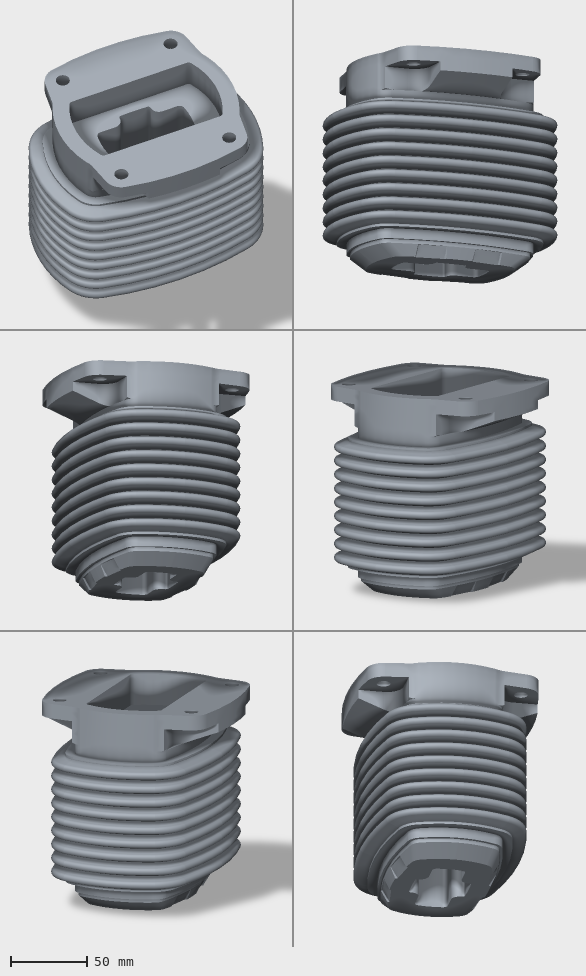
import cadquery as cq
import math

TIP_HALF_X = 53.5
TIP_HALF_Y = 76.8
CORNER_X = 21.7
CORNER_Y = 46.2
TIP_CORNER_R = 26.1

ROOT_INSET = 9.2
NECK_INSET = 15.7
SPIGOT_INSET = 17.8
CAVITY_INSET = 26.7

TAPER_TOP = 7.7
SPIGOT_TOP = 10.3
FINS_BOTTOM = 17.0
FINS_TOP = 103.5
HOUSING_BOTTOM = 110.5
TOTAL_HEIGHT = 135.5

FIN_COUNT = 9
FIN_TIP_R = 5.0 / 2
FIN_ROOT_WIDTH = 9.0
FIN_END_MARGIN = 1.7
FIN_PITCH = (FINS_TOP - FINS_BOTTOM - 2 * FIN_END_MARGIN - FIN_ROOT_WIDTH) / (FIN_COUNT - 1)
FIN_OVERLAP = 3.0

TAPER_HALF_X = 32.3
TAPER_HALF_Y = 48.5
TAPER_CORNER_X = 18.9
TAPER_CORNER_Y = 36.1
TAPER_CORNER_R = 8.3

RECESS_Y_NEAR = 10.3
RECESS_Y_FAR = 29.3
RECESS_X_NEAR = 35.2
RECESS_X_FAR = 32.4
RECESS_RUN = 4.6
RECESS_MOUTH_DEPTH = 3.8
RECESS_DRAFT = 3.0

FLANGE_THICKNESS = 9.8
FLANGE_BOTTOM = TOTAL_HEIGHT - FLANGE_THICKNESS
FLANGE_HALF_X = 61.9
FLANGE_SIDE_R = 198.2
FLANGE_RIDGE_Y = 58.5
FLANGE_END_SLOPE = 0.16
FLANGE_CORNER_R = 12.0
FLANGE_BLEND_R = 13.0
BOLT_X = 46.1
BOLT_Y = 39.0
BOLT_D = 9.2

WALL_HALF_X = 32.1
GUSSET_HALF_Y = 25.8
GUSSET_BLEND_R = 11.0
GUSSET_OUTER_Z = 119.7
GUSSET_INNER_X = 38.4
UNDERCUT_ANGLE = 60.0

CAVITY_DEPTH = 20.9
CAVITY_HALF_X = 26.3
CAVITY_CORNER_R = 3.0
SLOT_HALF_X = 11.0
SLOT_HALF_Y = 32.0
SLOT_SIDE_Y = 30.7
SLOT_CORNER_R = 3.4
WAIST_HALF_X = 19.0
WAIST_CORNER_X = 18.7
WAIST_HALF_Y = 11.2
WAIST_CORNER_R = 1.5
WAIST_BLEND_R = 5.8


def bow_radius(rise, offset, corner_r):
    """Radius of an arc centred on an axis that is tangent to an offset corner arc."""
    return (offset**2 + rise**2 - corner_r**2) / (2 * (rise - corner_r))


def toward(start, end, distance):
    """Point at a distance from start on the ray through end."""
    length = math.dist(start, end)
    return tuple(s + (e - s) * distance / length for s, e in zip(start, end))


def bowed_outline(z, half_x, half_y, corner_x, corner_y, corner_r):
    """Closed outline of four bowed sides joined tangentially by four corner arcs."""
    side_r = bow_radius(half_x - corner_x, corner_y, corner_r)
    end_r = bow_radius(half_y - corner_y, corner_x, corner_r)
    corner = (corner_x, corner_y)
    side_centre = (half_x - side_r, 0)
    end_centre = (0, half_y - end_r)
    side_start = (half_x, 0)
    side_tangent = toward(side_centre, corner, side_r)
    end_tangent = toward(end_centre, corner, end_r)
    end_middle = (0, half_y)
    side_through = toward(side_centre, (half_x, side_tangent[1] / 2), side_r)
    corner_through = toward(corner, (half_x, half_y), corner_r)
    end_through = toward(end_centre, (end_tangent[0] / 2, half_y), end_r)
    quarter = [side_start, side_through, side_tangent, corner_through,
               end_tangent, end_through, end_middle]

    outline = cq.Workplane("XY", origin=(0, 0, z)).moveTo(*side_start)
    for sign_x, sign_y in ((1, 1), (-1, 1), (-1, -1), (1, -1)):
        points = quarter if sign_x == sign_y else quarter[::-1]
        points = [(sign_x * x, sign_y * y) for x, y in points]
        for i in range(0, len(points) - 1, 2):
            outline = outline.threePointArc(points[i + 1], points[i + 2])
    return outline.close()


def body_outline(z, inset):
    """Fin-tip outline moved inward by an inset."""
    return bowed_outline(z, TIP_HALF_X - inset, TIP_HALF_Y - inset,
                         CORNER_X, CORNER_Y, TIP_CORNER_R - inset)


def body_slab(bottom, top, inset):
    return body_outline(bottom, inset).extrude(top - bottom)


def finned_core():
    """Core with a stack of tapered, round-tipped fins swept around it."""
    root_x = TIP_HALF_X - ROOT_INSET
    arc_x = TIP_HALF_X - FIN_TIP_R
    inner_x = root_x - FIN_OVERLAP
    first_fin_z = FINS_BOTTOM + FIN_END_MARGIN + FIN_ROOT_WIDTH / 2

    reach = arc_x - root_x
    half_root = FIN_ROOT_WIDTH / 2
    flank_tilt = math.atan2(half_root, reach) - math.asin(FIN_TIP_R / math.hypot(reach, half_root))
    flank_x = arc_x + FIN_TIP_R * math.sin(flank_tilt)
    flank_half = FIN_TIP_R * math.cos(flank_tilt)

    profile = cq.Workplane("XZ").moveTo(inner_x, FINS_BOTTOM).lineTo(root_x, FINS_BOTTOM)
    for i in range(FIN_COUNT):
        fin_z = first_fin_z + i * FIN_PITCH
        profile = profile.lineTo(root_x, fin_z - half_root)
        profile = profile.lineTo(flank_x, fin_z - flank_half)
        profile = profile.threePointArc((TIP_HALF_X, fin_z), (flank_x, fin_z + flank_half))
        profile = profile.lineTo(root_x, fin_z + half_root)
    profile = profile.lineTo(root_x, FINS_TOP).lineTo(inner_x, FINS_TOP).close()
    fins = profile.sweep(body_outline(0, ROOT_INSET))
    core_inset = ROOT_INSET + FIN_OVERLAP / 2
    return body_slab(FINS_BOTTOM, FINS_TOP, core_inset).union(fins)


def tapered_end():
    """Lower end narrowing downward, with two recesses in each long side."""
    wide = body_outline(TAPER_TOP, SPIGOT_INSET).wires().val()
    narrow = bowed_outline(0, TAPER_HALF_X, TAPER_HALF_Y, TAPER_CORNER_X,
                           TAPER_CORNER_Y, TAPER_CORNER_R).wires().val()
    end = cq.Workplane(cq.Solid.makeLoft([narrow, wide], True))

    floor_and_mouth = [
        (RECESS_X_NEAR, RECESS_Y_NEAR),
        (RECESS_X_FAR, RECESS_Y_FAR),
        (RECESS_X_FAR + RECESS_MOUTH_DEPTH, RECESS_Y_FAR + RECESS_DRAFT),
        (RECESS_X_NEAR + RECESS_MOUTH_DEPTH, RECESS_Y_NEAR - RECESS_DRAFT),
    ]
    upper = cq.Workplane("XY", origin=(0, 0, TAPER_TOP)).polyline(floor_and_mouth).close()
    lower = cq.Workplane("XY", origin=(-RECESS_RUN, 0, 0)).polyline(floor_and_mouth).close()
    recess = cq.Workplane(cq.Solid.makeLoft([lower.wires().val(), upper.wires().val()], True))
    return end.cut(mirrored_four_ways(recess))


def mirrored_four_ways(shape):
    both_sides = shape.union(shape.mirror("YZ"))
    return both_sides.union(both_sides.mirror("XZ"))


def flange_plate():
    """Plate with bowed sides and slightly ridged ends, as deep as the housing."""
    centre_x = FLANGE_HALF_X - FLANGE_SIDE_R
    a = 1 + FLANGE_END_SLOPE**2
    b = centre_x + FLANGE_END_SLOPE * FLANGE_RIDGE_Y
    c = centre_x**2 + FLANGE_RIDGE_Y**2 - FLANGE_SIDE_R**2
    corner_x = (b + math.sqrt(b**2 - a * c)) / a
    corner_y = FLANGE_RIDGE_Y - FLANGE_END_SLOPE * corner_x

    return (
        cq.Workplane("XY", origin=(0, 0, HOUSING_BOTTOM))
        .moveTo(corner_x, -corner_y)
        .threePointArc((FLANGE_HALF_X, 0), (corner_x, corner_y))
        .lineTo(0, FLANGE_RIDGE_Y)
        .lineTo(-corner_x, corner_y)
        .threePointArc((-FLANGE_HALF_X, 0), (-corner_x, -corner_y))
        .lineTo(0, -FLANGE_RIDGE_Y)
        .close()
        .extrude(TOTAL_HEIGHT - HOUSING_BOTTOM)
        .edges("|Z").filter(lambda edge: abs(edge.Center().x) > GUSSET_INNER_X)
        .fillet(FLANGE_CORNER_R)
    )


def corner_relief():
    """Open space under one flange corner, beside a gusset."""
    return (
        cq.Workplane("XY", origin=(0, 0, HOUSING_BOTTOM))
        .moveTo(WALL_HALF_X, GUSSET_HALF_Y)
        .lineTo(TIP_HALF_Y, GUSSET_HALF_Y)
        .lineTo(TIP_HALF_Y, TIP_HALF_Y)
        .lineTo(WALL_HALF_X, TIP_HALF_Y)
        .close()
        .extrude(FLANGE_BOTTOM - HOUSING_BOTTOM)
        .edges("|Z and <X and <Y").fillet(GUSSET_BLEND_R)
    )


def gusset_undercut():
    """Ring below the conical underside of the +X gusset, coaxial with the flange side."""
    axis_x = FLANGE_HALF_X - FLANGE_SIDE_R
    return (
        cq.Workplane("XZ")
        .moveTo(GUSSET_INNER_X, HOUSING_BOTTOM)
        .lineTo(FLANGE_HALF_X, HOUSING_BOTTOM)
        .lineTo(FLANGE_HALF_X, GUSSET_OUTER_Z)
        .close()
        .revolve(UNDERCUT_ANGLE, (axis_x, 0), (axis_x, 1))
        .rotate((axis_x, 0, 0), (axis_x, 0, 1), -UNDERCUT_ANGLE / 2)
    )


def housing():
    """Flange merged with the body end, relieved below to leave a gusset on each side."""
    block = (
        flange_plate()
        .union(body_slab(HOUSING_BOTTOM, TOTAL_HEIGHT, NECK_INSET))
        .edges("|Z").filter(lambda edge: CAVITY_HALF_X < abs(edge.Center().x) < WALL_HALF_X)
        .fillet(FLANGE_BLEND_R)
    )
    bolt_holes = (
        cq.Workplane("XY", origin=(0, 0, HOUSING_BOTTOM))
        .rect(2 * BOLT_X, 2 * BOLT_Y, forConstruction=True).vertices()
        .circle(BOLT_D / 2).extrude(TOTAL_HEIGHT - HOUSING_BOTTOM)
    )
    reliefs = mirrored_four_ways(corner_relief().union(gusset_undercut()))
    return block.cut(reliefs).cut(bolt_holes)


def cavity():
    """Pocket in the top face with straight long walls and bowed end walls."""
    floor_z = TOTAL_HEIGHT - CAVITY_DEPTH
    end_rise = TIP_HALF_Y - CORNER_Y
    end_r = bow_radius(end_rise, CORNER_X, TIP_CORNER_R) - CAVITY_INSET
    end_y = TIP_HALF_Y - CAVITY_INSET
    side_y = end_y - end_r + math.sqrt(end_r**2 - CAVITY_HALF_X**2)
    return bowed_slot(floor_z, CAVITY_DEPTH, CAVITY_HALF_X, side_y, end_y, CAVITY_CORNER_R)


def bowed_slot(bottom, height, half_x, side_y, end_y, corner_r):
    """Prism with straight sides along Y, bowed ends and rounded corners."""
    return (
        cq.Workplane("XY", origin=(0, 0, bottom))
        .moveTo(half_x, -side_y)
        .lineTo(half_x, side_y)
        .threePointArc((0, end_y), (-half_x, side_y))
        .lineTo(-half_x, -side_y)
        .threePointArc((0, -end_y), (half_x, -side_y))
        .close()
        .extrude(height)
        .edges("|Z").fillet(corner_r)
    )


def through_opening():
    """Slot widened at its waist, running the full height of the part."""
    slot = bowed_slot(0, TOTAL_HEIGHT, SLOT_HALF_X, SLOT_SIDE_Y, SLOT_HALF_Y, SLOT_CORNER_R)
    waist = (
        cq.Workplane("XY")
        .moveTo(WAIST_CORNER_X, -WAIST_HALF_Y)
        .threePointArc((WAIST_HALF_X, 0), (WAIST_CORNER_X, WAIST_HALF_Y))
        .lineTo(-WAIST_CORNER_X, WAIST_HALF_Y)
        .threePointArc((-WAIST_HALF_X, 0), (-WAIST_CORNER_X, -WAIST_HALF_Y))
        .close()
        .extrude(TOTAL_HEIGHT)
        .edges("|Z").fillet(WAIST_CORNER_R)
    )
    return slot.union(waist).edges("|Z").filter(is_waist_junction).fillet(WAIST_BLEND_R)


def is_waist_junction(edge):
    """True for the four upright edges where the slot sides meet the waist."""
    centre = edge.Center()
    return math.isclose(abs(centre.x), SLOT_HALF_X) and math.isclose(abs(centre.y), WAIST_HALF_Y)


result = (
    tapered_end()
    .union(body_slab(TAPER_TOP, SPIGOT_TOP, SPIGOT_INSET))
    .union(body_slab(SPIGOT_TOP, FINS_BOTTOM, NECK_INSET))
    .union(finned_core())
    .union(body_slab(FINS_TOP, HOUSING_BOTTOM, NECK_INSET))
    .union(housing())
    .cut(cavity())
    .cut(through_opening())
)